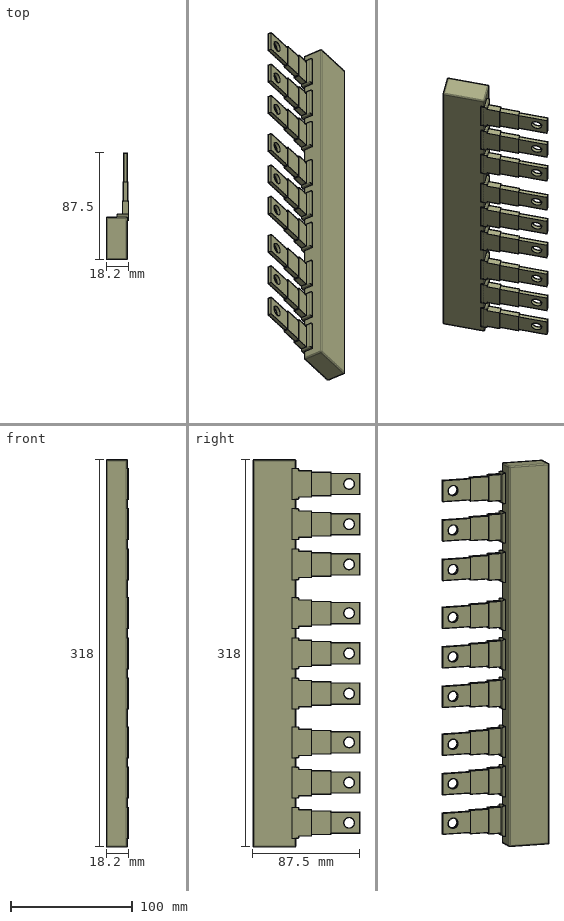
import cadquery as cq

housing_thickness = 17.25
housing_depth = 35.0
housing_height = 318.0
housing_edge_radius = 1.0

terminals_per_group = 3
group_count = 3
terminal_pitch = 33.0
group_pitch = 106.0

outer_face_x = 18.16
collar_thickness = 9.6
collar_width = 25.4
collar_rise = 2.5
collar_lap = 3.0
collar_edge_radius = 1.0

sleeve_width = 21.75
sleeve_end_y = 48.0
shank_width = 19.5
shank_end_y = 63.75
tab_width = 17.5
tab_end_y = 87.5
sleeve_thickness = 5.0
shank_thickness = 4.0
tab_thickness = 3.0
blade_middle_x = outer_face_x - sleeve_thickness / 2

hole_diameter = 8.5
hole_end_distance = 8.75

collar_end_y = housing_depth + collar_rise


def box(x_range, y_range, width):
    """Box over the given X and Y ranges, centred on Z = 0."""
    x_size = x_range[1] - x_range[0]
    y_size = y_range[1] - y_range[0]
    corner = (x_range[0], y_range[0], -width / 2)
    return cq.Workplane("XY").box(x_size, y_size, width, centered=False).translate(corner)


def make_housing():
    block = box((0, housing_thickness), (0, housing_depth), housing_height)
    return block.edges().fillet(housing_edge_radius)


def make_collar():
    """Block with its free +Y edges rounded, leaving the one flush with the sleeve sharp."""
    x_range = (outer_face_x - collar_thickness, outer_face_x)
    y_range = (housing_depth - collar_lap, collar_end_y)
    collar = box(x_range, y_range, collar_width)
    return collar.faces(">Y").edges("not >X").fillet(collar_edge_radius)


def make_blade_step(thickness, y_range, width):
    """One step of the blade, centred on the blade's mid-plane."""
    x_range = (blade_middle_x - thickness / 2, blade_middle_x + thickness / 2)
    return box(x_range, y_range, width)


def make_terminal(z):
    """One terminal at height z, with its collar shaped to the housing it rests on."""
    sleeve = make_blade_step(sleeve_thickness, (collar_end_y, sleeve_end_y), sleeve_width)
    shank = make_blade_step(shank_thickness, (sleeve_end_y, shank_end_y), shank_width)
    tab = make_blade_step(tab_thickness, (shank_end_y, tab_end_y), tab_width)
    hole = (
        cq.Workplane("YZ")
        .center(tab_end_y - hole_end_distance, 0)
        .circle(hole_diameter / 2)
        .extrude(outer_face_x)
    )
    terminal = make_collar().union(sleeve).union(shank).union(tab).cut(hole)
    return terminal.translate((0, 0, z)).cut(housing)


housing = make_housing()

terminals = []
for group in range(group_count):
    group_z = (group - (group_count - 1) / 2) * group_pitch
    for place in range(terminals_per_group):
        offset_z = (place - (terminals_per_group - 1) / 2) * terminal_pitch
        terminals.append(make_terminal(group_z + offset_z))

result = cq.Compound.makeCompound([housing.val(), *[terminal.val() for terminal in terminals]])